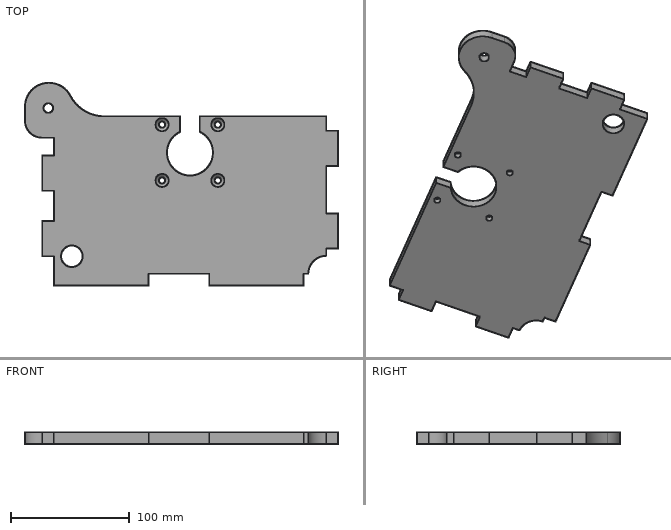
import cadquery as cq
import math

thickness = 10.0
body_width = 229.8
body_depth = 143.0

joint_depth = thickness
tab_length = 30.0
left_tab_starts = (24.9, 80.0)
right_tab_starts = (31.2, 101.0)
notch_start = 79.9
notch_end = 131.0
front_edge_end = 210.8

relief_radius = 15.0

ear_radius = 20.4
ear_left = -24.5
ear_rear = 171.4
ear_front = 124.8
ear_corner_radius = 14.5
ear_blend_radius = 32.3
ear_hole_diameter = 8.0
ear_hole_center = (-4.8, 150.0)

bore_diameter = 38.5
bore_center = (114.8, 112.5)
slot_width = 16.5
screw_spacing = 47.0
screw_diameter = 5.0
countersink_diameter = 11.0
countersink_angle = 90

corner_hole_diameter = 18.0
corner_hole_center = (15.0, 24.9)


def block(x_min, x_max, y_min, y_max):
    """Full-thickness rectangular block standing on Z = 0."""
    size_x = x_max - x_min
    size_y = y_max - y_min
    return cq.Workplane("XY").box(size_x, size_y, thickness, centered=False).translate((x_min, y_min, 0))


def disc(center, diameter):
    """Full-thickness cylinder standing on Z = 0."""
    return cq.Workplane("XY").center(*center).circle(diameter / 2).extrude(thickness)


def make_ear():
    """Rounded ear that blends tangentially into the rear edge of the plate."""
    center_x = ear_left + ear_radius
    center_y = ear_rear - ear_radius
    blend_y = body_depth + ear_blend_radius
    center_distance = ear_radius + ear_blend_radius
    blend_x = center_x + math.sqrt(center_distance**2 - (blend_y - center_y) ** 2)
    share = ear_radius / center_distance
    tangent_x = center_x + share * (blend_x - center_x)
    tangent_y = center_y + share * (blend_y - center_y)
    return (
        cq.Workplane("XY")
        .moveTo(blend_x, ear_front)
        .lineTo(blend_x, body_depth)
        .radiusArc((tangent_x, tangent_y), ear_blend_radius)
        .threePointArc((center_x, ear_rear), (ear_left, center_y))
        .lineTo(ear_left, ear_front + ear_corner_radius)
        .tangentArcPoint((ear_left + ear_corner_radius, ear_front), relative=False)
        .close()
        .extrude(thickness)
    )


def add_side_tabs(plate):
    for start in left_tab_starts:
        plate = plate.union(block(-joint_depth, joint_depth, start, start + tab_length))
    for start in right_tab_starts:
        plate = plate.union(block(body_width - joint_depth, body_width + joint_depth, start, start + tab_length))
    return plate


def cut_front_edge(plate):
    plate = plate.cut(block(notch_start, notch_end, 0, joint_depth))
    plate = plate.cut(block(front_edge_end, body_width, 0, joint_depth))
    return plate.cut(disc((body_width, joint_depth), 2 * relief_radius))


def cut_keyhole(plate):
    bore_x, bore_y = bore_center
    slot = block(bore_x - slot_width / 2, bore_x + slot_width / 2, bore_y, body_depth)
    return plate.cut(disc(bore_center, bore_diameter)).cut(slot)


def cut_screw_holes(plate):
    return (
        plate.faces(">Z")
        .workplane(origin=(*bore_center, thickness))
        .rect(screw_spacing, screw_spacing, forConstruction=True)
        .vertices()
        .cskHole(screw_diameter, countersink_diameter, countersink_angle)
    )


plate = block(0, body_width, 0, body_depth).union(make_ear())
plate = cut_front_edge(plate)
plate = add_side_tabs(plate)
plate = cut_keyhole(plate)
plate = cut_screw_holes(plate)
plate = plate.cut(disc(ear_hole_center, ear_hole_diameter))
result = plate.cut(disc(corner_hole_center, corner_hole_diameter))